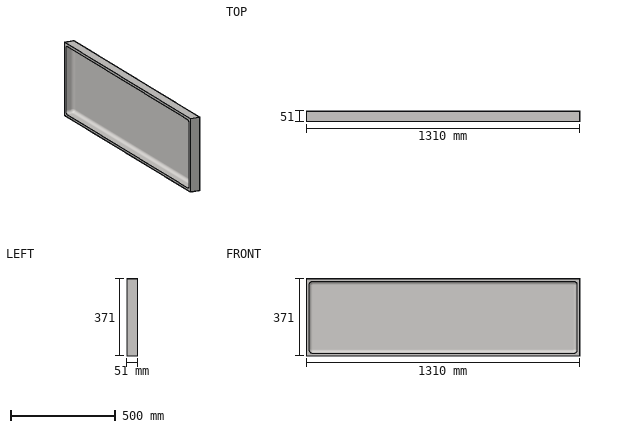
import cadquery as cq

length = 1310.0
depth = 51.0
height = 371.0

rim_width = 13.0
floor_thickness = 5.0
wall_draft = 1.5
blend_radius = 17.0

pocket_length = length - 2 * rim_width
pocket_height = height - 2 * rim_width
pocket_depth = depth - floor_thickness


def make_pocket():
    """Drafted pocket with rounded corners and a rounded transition into the floor."""
    pocket = (
        cq.Workplane("XZ", origin=(0, -depth / 2, 0))
        .rect(pocket_length, pocket_height)
        .extrude(-pocket_depth, taper=wall_draft)
    )
    pocket = pocket.edges("not(|X or |Z)").fillet(blend_radius)
    return pocket.faces(">Y").edges().fillet(blend_radius)


body = cq.Workplane("XY").box(length, depth, height)
result = body.cut(make_pocket())